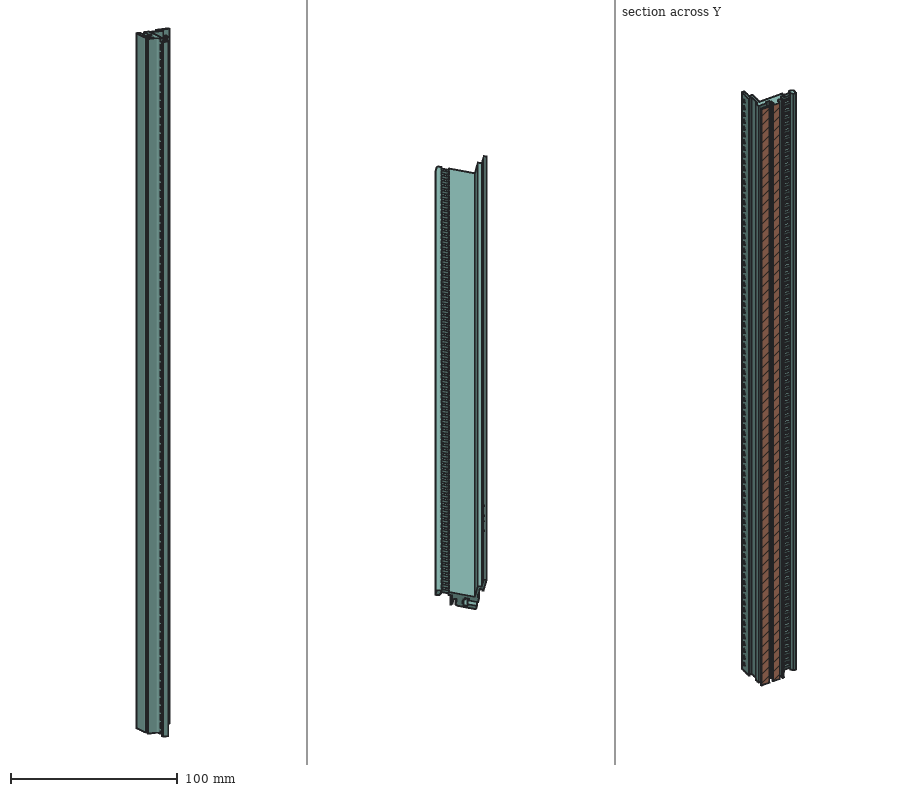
import cadquery as cq

LENGTH = 431.8
WIDTH = 27.5
DEPTH = 22.6

PITCH = 5.08
PITCH_COUNT = round(LENGTH / PITCH)

WALL = 1.7
WALL_X = 2.4
JOG_TOP_Y = 17.1
JOG_BOTTOM_Y = 15.2
LIP_THICKNESS = 0.7
LIP_END_Y = 14.3

ARM_X = 1.3
ARM_TOP_Y = 8.9
CHANNEL_TOP_Y = 5.4
CHANNEL_BOTTOM_Y = 2.6
CHANNEL_END_X = 10.4
GROOVE_START_X = 7.0
GROOVE_END_X = 9.4
GROOVE_TOP_Y = 6.6
GROOVE_BOTTOM_Y = 1.4
ARM_CORNER_RADIUS = 1.1

BLOCK_X = 17.2
BLOCK_FILLET = 1.1
SCREW_BORE_DIAMETER = 2.3
SCREW_BORE_X = 15.1
SCREW_BORE_Y = 3.6
SCREW_MOUTH_WIDTH = 1.8
SCREW_FLARE_WIDTH = 3.0
SCREW_FLARE_DEPTH = 1.0
LEAD_IN_WIDTH = 1.3
LEAD_IN_DEPTH = 0.4

FLANGE_BOTTOM_Y = 6.7
BEAD_START_X = 24.5
BEAD_X = 25.5
BEAD_BOTTOM_Y = 5.0
BEAD_RADIUS = 1.2

HOLE_DIAMETER = 2.3
HOLE_Y = 20.1
SLOT_START_X = 20.0
SLOT_HEIGHT = 3.0


def rail_body():
    """Extruded rail outline with the insert channel between its two arms."""
    outline = (
        cq.Workplane("XY")
        .moveTo(0, DEPTH)
        .lineTo(WALL, DEPTH)
        .lineTo(WALL, JOG_TOP_Y)
        .lineTo(WALL_X + WALL, JOG_TOP_Y)
        .lineTo(WALL_X + WALL, ARM_TOP_Y)
        .lineTo(WIDTH - BEAD_RADIUS, ARM_TOP_Y)
        .radiusArc((WIDTH, ARM_TOP_Y - BEAD_RADIUS), BEAD_RADIUS)
        .lineTo(WIDTH, BEAD_BOTTOM_Y)
        .lineTo(BEAD_X, BEAD_BOTTOM_Y)
        .lineTo(BEAD_START_X, FLANGE_BOTTOM_Y)
        .lineTo(BLOCK_X + BLOCK_FILLET, FLANGE_BOTTOM_Y)
        .radiusArc((BLOCK_X, FLANGE_BOTTOM_Y - BLOCK_FILLET), -BLOCK_FILLET)
        .lineTo(BLOCK_X, 0)
        .lineTo(ARM_X + ARM_CORNER_RADIUS, 0)
        .radiusArc((ARM_X, ARM_CORNER_RADIUS), ARM_CORNER_RADIUS)
        .lineTo(ARM_X, CHANNEL_BOTTOM_Y)
        .lineTo(CHANNEL_END_X, CHANNEL_BOTTOM_Y)
        .lineTo(CHANNEL_END_X, CHANNEL_TOP_Y)
        .lineTo(ARM_X, CHANNEL_TOP_Y)
        .lineTo(ARM_X, ARM_TOP_Y)
        .lineTo(WALL_X, ARM_TOP_Y)
        .lineTo(WALL_X, JOG_BOTTOM_Y)
        .lineTo(LIP_THICKNESS, JOG_BOTTOM_Y)
        .lineTo(LIP_THICKNESS, LIP_END_Y)
        .lineTo(0, LIP_END_Y)
        .close()
    )
    return outline.extrude(LENGTH)


def channel_grooves():
    """Pair of facing grooves that widen the channel near its inner end."""
    centre = ((GROOVE_START_X + GROOVE_END_X) / 2, (GROOVE_BOTTOM_Y + GROOVE_TOP_Y) / 2)
    size = (GROOVE_END_X - GROOVE_START_X, GROOVE_TOP_Y - GROOVE_BOTTOM_Y)
    return cq.Workplane("XY").center(*centre).rect(*size).extrude(LENGTH)


def screw_channel():
    """Round bore along Z with a narrow mouth through the front face, flared and led in from the -X side."""
    bore = cq.Workplane("XY").center(SCREW_BORE_X, SCREW_BORE_Y).circle(SCREW_BORE_DIAMETER / 2)
    left_wall = SCREW_BORE_X - SCREW_MOUTH_WIDTH / 2
    right_wall = SCREW_BORE_X + SCREW_MOUTH_WIDTH / 2
    left_flare = SCREW_BORE_X - SCREW_FLARE_WIDTH / 2
    right_flare = SCREW_BORE_X + SCREW_FLARE_WIDTH / 2
    mouth = (
        cq.Workplane("XY")
        .moveTo(left_flare - LEAD_IN_WIDTH, 0)
        .lineTo(left_flare, LEAD_IN_DEPTH)
        .lineTo(left_wall, SCREW_FLARE_DEPTH)
        .lineTo(left_wall, SCREW_BORE_Y)
        .lineTo(right_wall, SCREW_BORE_Y)
        .lineTo(right_wall, SCREW_FLARE_DEPTH)
        .lineTo(right_flare, 0)
        .close()
    )
    return bore.extrude(LENGTH).union(mouth.extrude(LENGTH))


def flange_holes():
    """Round holes along X through the rear flange, one at every inner pitch point."""
    centres = [(HOLE_Y, k * PITCH) for k in range(1, PITCH_COUNT)]
    return cq.Workplane("YZ").pushPoints(centres).circle(HOLE_DIAMETER / 2).extrude(WALL)


def flange_slots():
    """Slots along Y through the wide flange; the two end slots are cut in half by the rail ends."""
    slot_length = BEAD_START_X - SLOT_START_X
    centre_x = (BEAD_START_X + SLOT_START_X) / 2
    centres = [(centre_x, k * PITCH) for k in range(PITCH_COUNT + 1)]
    return cq.Workplane("XZ").pushPoints(centres).rect(slot_length, SLOT_HEIGHT).extrude(-ARM_TOP_Y)


result = (
    rail_body()
    .cut(channel_grooves())
    .cut(screw_channel())
    .cut(flange_holes())
    .cut(flange_slots())
)